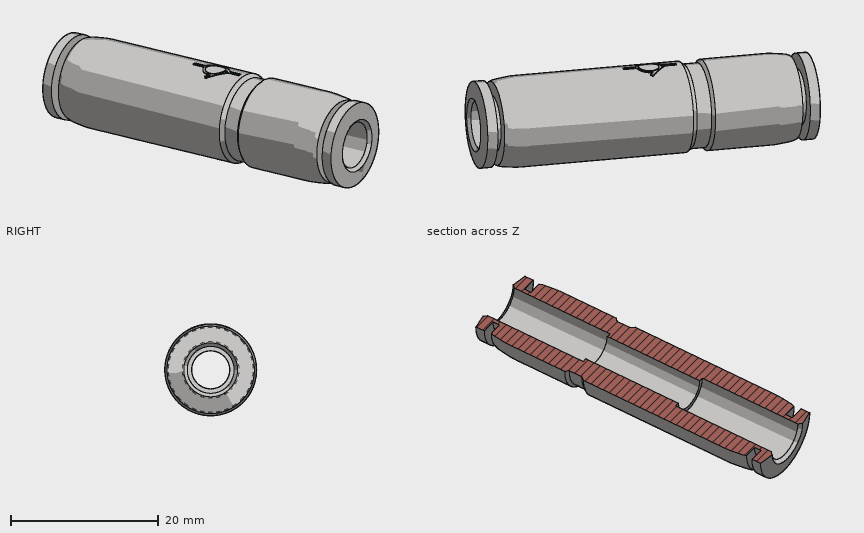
import cadquery as cq
import math

length = 47.5
body_radius = 12.5 / 2

collar_radius = 5.95
collar_rim_start = 0.4
collar_rim_end = 1.8
neck_radius = 3.85

body_start = 2.8
body_face_radius = 5.75
cone_start = 3.3
cone_start_radius = 5.95
curve_start = 4.15
curve_start_radius = 6.055
curve_end = 6.15

groove_left = 29.2
groove_right = 32.3
groove_radius = 5.8
groove_left_chamfer = 0.6
groove_right_chamfer = 0.45

mouth_radius = 3.65
socket_radius = 3.2
mouth_depth = 0.48
socket_depth = 16.15
bore_radius = 2.55

symbol_x = 24.55
symbol_depth = 0.1
line_width = 0.5
line_left = 3.5
line_right = 3.9
ring_outer_radius = 1.75
ring_inner_radius = 1.42
chevron_apex = 2.45
chevron_length = 3.55
chevron_width = 0.4


def cylinder(start, end, radius):
    return cq.Workplane("YZ").workplane(offset=start).circle(radius).extrude(end - start)


def revolve_about_x(profile):
    return profile.close().revolve(360, (0, 0, 0), (1, 0, 0))


def make_half_outline():
    """Collar and left half of the body."""
    profile = (
        cq.Workplane("XY")
        .moveTo(0, 0)
        .lineTo(0, mouth_radius)
        .lineTo(collar_rim_start, collar_radius)
        .lineTo(collar_rim_end, collar_radius)
        .lineTo(collar_rim_end, neck_radius)
        .lineTo(body_start, neck_radius)
        .lineTo(body_start, body_face_radius)
        .lineTo(cone_start, cone_start_radius)
        .lineTo(curve_start, curve_start_radius)
    )
    run = curve_end - curve_start
    rise = body_radius - curve_start_radius
    arc_radius = (run**2 + rise**2) / (2 * rise)
    half_angle = math.asin(run / arc_radius) / 2
    middle = (
        curve_end - arc_radius * math.sin(half_angle),
        body_radius - arc_radius * (1 - math.cos(half_angle)),
    )
    profile = (
        profile.threePointArc(middle, (curve_end, body_radius))
        .lineTo(length / 2, body_radius)
        .lineTo(length / 2, 0)
    )
    return revolve_about_x(profile)


def make_groove():
    chamfer_rise = body_radius - groove_radius
    outside = body_radius + chamfer_rise
    floor_left = groove_left + groove_left_chamfer
    floor_right = groove_right - groove_right_chamfer
    return revolve_about_x(
        cq.Workplane("XY").polyline([
            (groove_left - groove_left_chamfer, outside),
            (groove_left, body_radius),
            (floor_left, groove_radius),
            (floor_right, groove_radius),
            (groove_right, body_radius),
            (groove_right + groove_right_chamfer, outside),
        ])
    )


def make_half_socket():
    """Chamfered tube socket with half of the through bore."""
    return revolve_about_x(
        cq.Workplane("XY").polyline([
            (0, 0),
            (0, mouth_radius),
            (mouth_depth, socket_radius),
            (socket_depth, socket_radius),
            (socket_depth, bore_radius),
            (length / 2, bore_radius),
            (length / 2, 0),
        ])
    )


def symbol_bar(start, end):
    """Straight flow line along X, measured from the symbol centre."""
    return (
        cq.Workplane("XY")
        .center((start + end) / 2, 0)
        .rect(end - start, line_width)
        .extrude(body_radius)
    )


def chevron_arm(side):
    """One 45 degree arm of the chevron, running back from its apex."""
    arm = (
        cq.Workplane("XY")
        .rect(chevron_length, chevron_width, centered=False)
        .extrude(body_radius)
        .rotate((0, 0, 0), (0, 0, 1), 135)
        .translate((chevron_apex, 0, 0))
    )
    return arm if side > 0 else arm.mirror("XZ")


def make_symbol():
    symbol = cq.Workplane("XY").circle(ring_outer_radius).extrude(body_radius)
    chevron_corner = chevron_apex - chevron_width * math.sqrt(2)
    symbol = symbol.union(symbol_bar(-line_left, 0)).union(symbol_bar(chevron_corner, line_right))
    for side in (-1, 1):
        symbol = symbol.union(chevron_arm(side))
    symbol = symbol.cut(cq.Workplane("XY").circle(ring_inner_radius).extrude(body_radius))
    floor = cylinder(0, length, body_radius - symbol_depth)
    return symbol.translate((symbol_x, 0, 0)).cut(floor)


def both_ends(half):
    return half.union(half.mirror("YZ", (length / 2, 0, 0)))


outline = both_ends(make_half_outline())
sockets = both_ends(make_half_socket())
part = outline.cut(make_groove()).cut(sockets).cut(make_symbol())
result = part.translate((-length / 2, 0, 0))